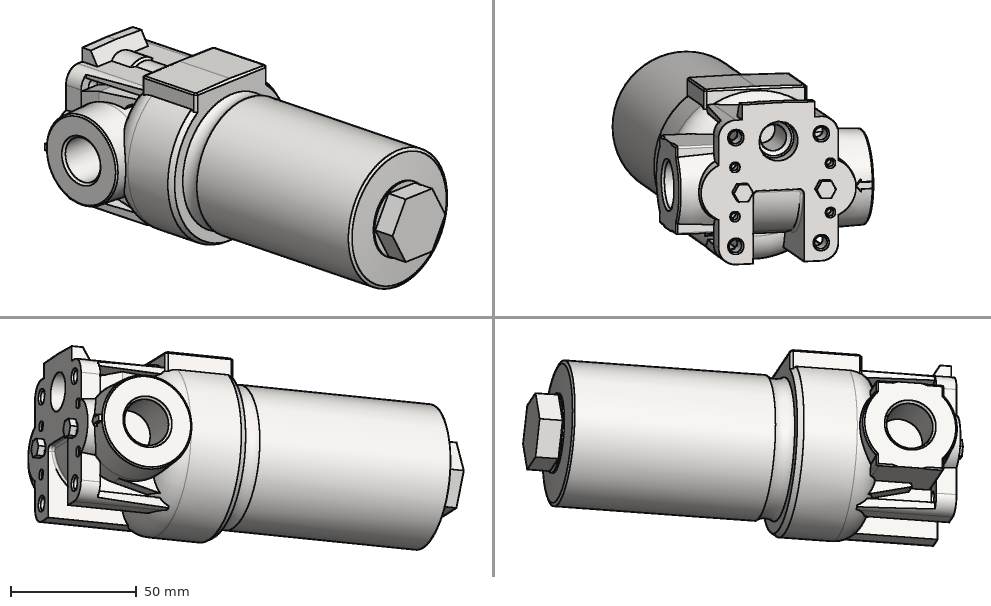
import cadquery as cq
import math


body_radius = 35.0
body_start = 43.0
dome_radius = 11.2
body_end = 67.0
body_chamfer_length = 2.4
body_chamfer_depth = 1.4
neck_radius = 28.9
neck_groove_radius = 27.8
bowl_radius = 29.2
bowl_start = 75.0
bowl_end = 156.8
bowl_rim_radius = 27.8
plug_start = 158.1
plug_rim_radius = 16.0
plug_seat = 158.8
hex_end = 168.1
hex_flats = 27.0

plate_thickness = 8.3
plate_half_width = 24.5
corner_radius = 7.0
mount_y = 17.5
mount_z = 22.0
shoulder_z = mount_z + corner_radius
plate_bottom = -29.4
lip_half_width = 15.0
lip_edge_z = 35.0
lip_crown_z = 35.4
lip_flat = 4.5
lobe_radius = 12.0
lobe_y = 19.8
lobe_draft = 5.0
slot_half_width = 10.5
slot_corner_radius = 2.0
slot_blend = 1.0

block_end = 39.5
block_front_half_width = 21.7
block_back_half_width = 20.0
recess_wall_y = 15.0
recess_mouth_top = 27.0
recess_wall_top = 24.4
recess_wall_bottom = -24.4
recess_mouth_bottom = -25.8
shelf_foot_z = 21.3
shelf_start = 17.7
shelf_end = 38.5
shelf_front_y = -24.4
shelf_back_y = -19.8
shelf_top = 23.9
shelf_bottom = 20.3

port_x = 22.3
port_radius = 20.0
port_half_length = 39.97
port_draft = 2.5
port_chamfer = 0.7
port_hole_radius = 9.5
port_hole_mouth_radius = 10.5
port_hole_depth = 20.6
port_box_length = 27.5
port_box_height = 35.8
port_box_round = 0.9
ramp_angle = 14.0
ramp_end = 36.1
ramp_half_width = 21.5

pad_start = 37.8
pad_half_width = 21.1
pad_edge_z = 35.0
pad_crown_z = 35.4
pad_chamfer = 1.0

bore_z = 19.8
bore_radius = 7.9
bore_depth = 6.9
pilot_mouth_radius = 7.0
pilot_radius = 5.3
pilot_depth = 20.6
boss_radius = 11.3
boss_end = 19.5
boss_chamfer = 1.0
rear_boss_radius = 10.3

mount_hole_radius = 2.5
mount_hole_mouth_radius = 3.3
pattern_y = -1.7
pin_half_spacing_y = 19.6
pin_half_spacing_z = 10.0
pin_hole_radius = 1.4
pin_hole_mouth_radius = 2.0
pin_hole_depth = 5.2
screw_half_spacing = 17.0
screw_head_flats = 6.9
screw_head_length = 3.1
screw_tip = -3.8
screw_shank_radius = 2.5

arrow_tip_y = -32.3
arrow_neck_y = -34.4
arrow_tail_y = -39.0
arrow_half_head = 2.4
arrow_half_shaft = 1.4
arrow_face_x = 1.7
arrow_depth = 3.5


def cylinder_x(x_start, x_end, radius, y=0.0, z=0.0):
    """Cylinder along X."""
    return cq.Workplane("YZ", origin=(x_start, y, z)).circle(radius).extrude(x_end - x_start)


def hexagon_x(x_start, x_end, flats, y=0.0, z=0.0):
    """Hexagonal bar along X with corners towards +Y and -Y."""
    corners = flats / math.cos(math.pi / 6)
    return cq.Workplane("YZ", origin=(x_start, y, z)).polygon(6, corners).extrude(x_end - x_start)


def box_between(x_range, y_range, z_range):
    """Box from its lower and upper limits along each axis."""
    lows, highs = zip(x_range, y_range, z_range)
    sizes = [high - low for low, high in zip(lows, highs)]
    return cq.Workplane("XY").box(*sizes, centered=False).translate(lows)


def countersunk_hole(radius, mouth_radius, depth, y, z):
    """Hole from the mounting face with a 45 degree countersink."""
    sink = mouth_radius - radius
    profile = [(0, 0), (0, mouth_radius), (sink, radius), (depth, radius), (depth, 0)]
    hole = cq.Workplane("XY").polyline(profile).close().revolve(360, (0, 0), (1, 0))
    return hole.translate((0, y, z))


def turned_body():
    """Domed body, neck groove and bowl."""
    dome_start = body_start - dome_radius
    diagonal = dome_radius * math.sqrt(0.5)
    profile = (
        cq.Workplane("XY")
        .moveTo(dome_start, 0)
        .lineTo(dome_start, body_radius - dome_radius)
        .threePointArc(
            (body_start - diagonal, body_radius - dome_radius + diagonal),
            (body_start, body_radius),
        )
        .lineTo(body_end - body_chamfer_length, body_radius)
        .lineTo(body_end, body_radius - body_chamfer_depth)
        .lineTo(body_end, neck_radius)
        .threePointArc(((body_end + bowl_start) / 2, neck_groove_radius), (bowl_start, bowl_radius))
        .lineTo(bowl_end, bowl_radius)
        .lineTo((bowl_end + plug_start) / 2, bowl_rim_radius)
        .lineTo(plug_start, plug_rim_radius)
        .lineTo(plug_seat, plug_rim_radius)
        .lineTo(plug_seat, 0)
        .close()
    )
    return profile.revolve(360, (0, 0), (1, 0))


def section_outline(half_width):
    """Plate section in Y and Z without lip and lobes; its corners are arcs round the mounting holes."""
    corner_y = half_width - corner_radius
    low_z = plate_bottom + corner_radius
    diagonal = corner_radius * math.sqrt(0.5)
    return (
        cq.Workplane("YZ")
        .moveTo(-corner_y, shoulder_z)
        .lineTo(corner_y, shoulder_z)
        .threePointArc((corner_y + diagonal, mount_z + diagonal), (half_width, mount_z))
        .lineTo(half_width, low_z)
        .threePointArc((corner_y + diagonal, low_z - diagonal), (corner_y, plate_bottom))
        .lineTo(-corner_y, plate_bottom)
        .threePointArc((-corner_y - diagonal, low_z - diagonal), (-half_width, low_z))
        .lineTo(-half_width, mount_z)
        .threePointArc((-corner_y - diagonal, mount_z + diagonal), (-corner_y, shoulder_z))
        .close()
    )


def roofed_prism(x_start, x_end, half_width, base_z, edge_z, crown_z):
    """Prism along X whose top slopes slightly from a central ridge to both sides."""
    outline = [
        (-half_width, base_z),
        (-half_width, edge_z),
        (0, crown_z),
        (half_width, edge_z),
        (half_width, base_z),
    ]
    return cq.Workplane("YZ", origin=(x_start, 0, 0)).polyline(outline).close().extrude(x_end - x_start)


def lip():
    """Ridged lip on top of the plate, sloping down at the back."""
    ridge = roofed_prism(0, plate_thickness, lip_half_width, bore_z, lip_edge_z, lip_crown_z)
    side = [
        (0, bore_z),
        (0, lip_crown_z),
        (lip_flat, lip_crown_z),
        (plate_thickness, shoulder_z),
        (plate_thickness, bore_z),
    ]
    slope = cq.Workplane("XZ").polyline(side).close().extrude(lip_half_width, both=True)
    return ridge.intersect(slope)


def plate():
    """Mounting plate with its lip and two round side lobes."""
    solid = section_outline(plate_half_width).extrude(plate_thickness).union(lip())
    for side in (-1, 1):
        lobe = cq.Workplane("YZ", origin=(0, side * lobe_y, 0)).circle(lobe_radius)
        solid = solid.union(lobe.extrude(plate_thickness, taper=-lobe_draft))
    return solid


def block():
    """Tapering block behind the plate, recessed on both sides."""
    taper_outline = [
        (0, -block_front_half_width),
        (plate_thickness, -block_front_half_width),
        (block_end, -block_back_half_width),
        (block_end, block_back_half_width),
        (plate_thickness, block_front_half_width),
        (0, block_front_half_width),
    ]
    height = shoulder_z - plate_bottom
    taper = cq.Workplane("XY", origin=(0, 0, plate_bottom)).polyline(taper_outline).close().extrude(height)
    solid = section_outline(plate_half_width).extrude(block_end).intersect(taper)
    for side in (-1, 1):
        recess_outline = [
            (side * recess_wall_y, recess_wall_bottom),
            (side * recess_wall_y, recess_wall_top),
            (side * plate_half_width, recess_mouth_top),
            (side * plate_half_width, recess_mouth_bottom),
        ]
        recess = cq.Workplane("YZ", origin=(plate_thickness, 0, 0)).polyline(recess_outline).close()
        solid = solid.cut(recess.extrude(block_end))
    return solid


def shelf():
    """Shelf above the -Y port, with a ramp up from the plate and a sloping underside at the back."""
    buried_z = port_radius / 2
    wedge_outline = [
        (shelf_start, shelf_top),
        (shelf_end, shelf_top),
        (port_x + plate_thickness, shelf_bottom),
        (port_x, buried_z),
        (plate_thickness, buried_z),
        (plate_thickness, shelf_foot_z),
    ]
    plan_outline = [
        (0, -recess_wall_y),
        (0, shelf_front_y),
        (shelf_start, shelf_front_y),
        (shelf_end, shelf_back_y),
        (shelf_end, -recess_wall_y),
    ]
    wedge = cq.Workplane("XZ").polyline(wedge_outline).close().extrude(plate_half_width)
    plan = cq.Workplane("XY").polyline(plan_outline).close().extrude(shelf_top)
    return wedge.intersect(plan)


def slot():
    """Slot between the two plate legs, open downwards."""
    tall = box_between((0, block_end), (-slot_half_width, slot_half_width), (2 * plate_bottom, 0))
    return tall.edges("|X and >Z").fillet(slot_corner_radius)


def barrel_between(y_start, y_end):
    """Plain length of the port barrel, along Y."""
    disc = cq.Workplane("XZ", origin=(port_x, y_start, 0)).circle(port_radius)
    return disc.extrude(y_start - y_end)


def bridge_slot(solid):
    """Carry the barrel across the slot and fillet it where it meets the slot walls and roof."""
    solid = solid.union(barrel_between(-plate_half_width, slot_half_width + slot_blend))
    bridge_reach = slot_half_width + slot_blend
    seam_box = cq.selectors.BoxSelector(
        (slot_blend, -bridge_reach, -port_radius),
        (block_end - slot_blend, bridge_reach, slot_blend),
    )
    seam = solid.edges(seam_box).edges("not (|X)")
    return seam.fillet(slot_blend)


def port_end(side):
    """Drafted outer end of the barrel on the +Y (1) or -Y (-1) side."""
    length = port_half_length - plate_half_width
    tip_radius = port_radius - length * math.tan(math.radians(port_draft))
    outline = [
        (0, side * plate_half_width),
        (port_radius, side * plate_half_width),
        (tip_radius, side * (port_half_length - port_chamfer)),
        (tip_radius - port_chamfer, side * port_half_length),
        (0, side * port_half_length),
    ]
    end = cq.Workplane("XY").polyline(outline).close().revolve(360, (0, 0), (0, 1))
    return end.translate((port_x, 0, 0))


def squared_port():
    """Barrel on the +Y side, trimmed flat and squared above and below."""
    barrel = barrel_between(slot_half_width, plate_half_width).union(port_end(1))
    squared = box_between(
        (port_x - port_box_length / 2, port_x + port_box_length / 2),
        (slot_half_width, port_half_length),
        (-port_box_height / 2, port_box_height / 2),
    )
    trim = box_between(
        (0, 2 * port_x),
        (slot_half_width, port_half_length),
        (port_box_height / 2, port_radius),
    )
    barrel = barrel.cut(trim).cut(trim.mirror("XY"))
    squared = squared.edges("|Y").fillet(port_box_round).faces(">Y").chamfer(port_chamfer)
    return barrel.union(squared)


def underside_ramp():
    """Ramp leaving the underside of the barrel tangentially and running into the dome."""
    angle = math.radians(ramp_angle)
    start_x = port_x - port_radius * math.sin(angle)
    start_z = -port_radius * math.cos(angle)
    end_z = start_z - (ramp_end - start_x) * math.tan(angle)
    outline = [(start_x, start_z), (ramp_end, end_z), (ramp_end, 0), (port_x, 0)]
    return cq.Workplane("XZ").polyline(outline).close().extrude(ramp_half_width, both=True)


def port_holes():
    """Blind countersunk hole in each port end."""
    sink = port_hole_mouth_radius - port_hole_radius
    floor_y = port_half_length - port_hole_depth
    profile = [
        (0, floor_y),
        (port_hole_radius, floor_y),
        (port_hole_radius, port_half_length - sink),
        (port_hole_mouth_radius, port_half_length),
        (0, port_half_length),
    ]
    hole = cq.Workplane("XY").polyline(profile).close().revolve(360, (0, 0), (0, 1))
    return hole.union(hole.mirror("XZ")).translate((port_x, 0, 0))


def pad():
    """Slightly ridged pad on top of the body."""
    envelope = box_between((pad_start, body_end), (-pad_half_width, pad_half_width), (0, pad_crown_z))
    envelope = envelope.edges("|Z").chamfer(pad_chamfer).faces(">Z").chamfer(pad_chamfer)
    roof = roofed_prism(pad_start, body_end, pad_half_width, 0, pad_edge_z, pad_crown_z)
    return envelope.intersect(roof)


def indicator_boss():
    """Stepped boss around the indicator bore."""
    front = cylinder_x(0, boss_end, boss_radius, 0, bore_z).faces(">X").chamfer(boss_chamfer)
    return front.union(cylinder_x(0, block_end, rear_boss_radius, 0, bore_z))


def flow_arrow():
    """Raised arrow pointing along +Y."""
    outline = [
        (arrow_tip_y, 0),
        (arrow_neck_y, arrow_half_head),
        (arrow_neck_y, arrow_half_shaft),
        (arrow_tail_y, arrow_half_shaft),
        (arrow_tail_y, -arrow_half_shaft),
        (arrow_neck_y, -arrow_half_shaft),
        (arrow_neck_y, -arrow_half_head),
    ]
    return cq.Workplane("YZ", origin=(arrow_face_x, 0, 0)).polyline(outline).close().extrude(arrow_depth)


def screw(y):
    """Hexagon screw head standing off the mounting face."""
    head = hexagon_x(screw_tip, screw_tip + screw_head_length, screw_head_flats, y)
    return head.union(cylinder_x(screw_tip, plate_thickness, screw_shank_radius, y))


result = plate().union(block()).union(indicator_boss()).cut(slot())
result = bridge_slot(result).union(underside_ramp()).union(port_end(-1)).union(squared_port())
result = result.union(shelf()).union(turned_body()).union(pad())
result = result.union(hexagon_x(plug_start, hex_end, hex_flats)).union(flow_arrow())

result = result.cut(port_holes())
result = result.cut(cylinder_x(0, bore_depth, bore_radius, 0, bore_z))
pilot = countersunk_hole(pilot_radius, pilot_mouth_radius, pilot_depth, 0, bore_z)
result = result.cut(pilot.translate((bore_depth, 0, 0)))
for y_side in (-1, 1):
    for z_side in (-1, 1):
        result = result.cut(
            countersunk_hole(
                mount_hole_radius,
                mount_hole_mouth_radius,
                plate_thickness,
                y_side * mount_y,
                z_side * mount_z,
            )
        )
        result = result.cut(
            countersunk_hole(
                pin_hole_radius,
                pin_hole_mouth_radius,
                pin_hole_depth,
                pattern_y + y_side * pin_half_spacing_y,
                z_side * pin_half_spacing_z,
            )
        )

for y_side in (-1, 1):
    result = result.union(screw(pattern_y + y_side * screw_half_spacing))